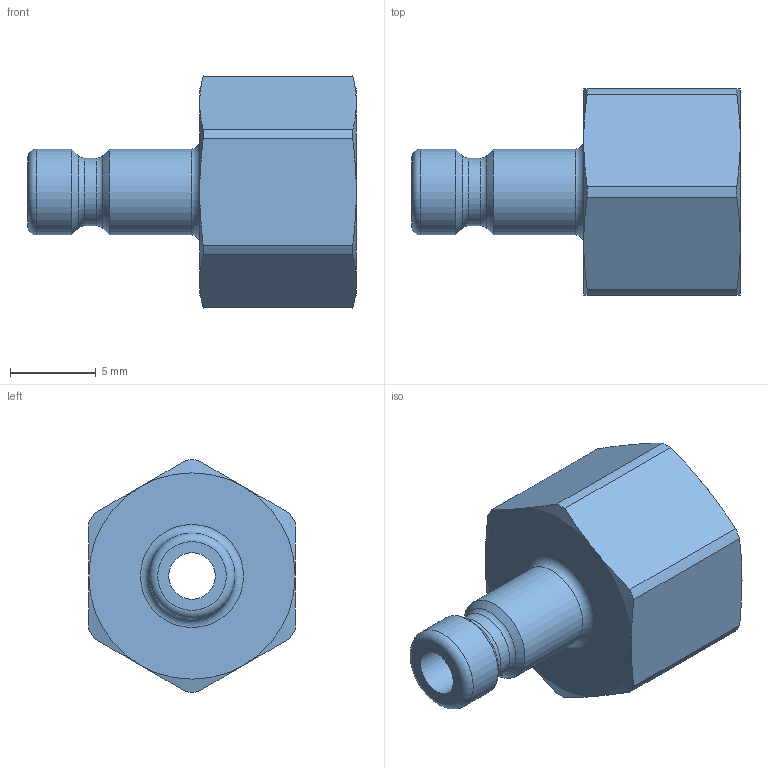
import cadquery as cq
import math

total_length = 19.1
plug_length = 10.0
hex_length = total_length - plug_length

hex_sides = 6
across_flats = 12.0
corner_diameter = 13.5
chamfer_slope = 15.0

plug_diameter = 5.0
bore_diameter = 2.7
tip_radius = 0.5
root_radius = 0.5

groove_diameter = 3.95
groove_start = 2.55
groove_width = 2.2
groove_blend_radius = 0.5
groove_wall_angle = 45.0

axis_start = (0, 0, 0)
axis_end = (1, 0, 0)


def make_hex_body():
    """Hexagonal prism with turned corners and chamfered ends, two corners on the Z axis."""
    flat_radius = across_flats / 2
    corner_radius = corner_diameter / 2
    sharp_corner_diameter = across_flats / math.cos(math.pi / hex_sides)
    prism = (
        cq.Workplane("YZ", origin=(plug_length, 0, 0))
        .transformed(rotate=(0, 0, 90))
        .polygon(hex_sides, sharp_corner_diameter)
        .extrude(hex_length)
    )

    chamfer_length = (corner_radius - flat_radius) * math.tan(math.radians(chamfer_slope))
    turned_envelope = (
        cq.Workplane("XY")
        .moveTo(plug_length, 0)
        .lineTo(plug_length, flat_radius)
        .lineTo(plug_length + chamfer_length, corner_radius)
        .lineTo(total_length - chamfer_length, corner_radius)
        .lineTo(total_length, flat_radius)
        .lineTo(total_length, 0)
        .close()
        .revolve(360, axis_start, axis_end)
    )
    return prism.intersect(turned_envelope)


def make_plug():
    """Turned plug with a rounded tip, a locking groove and a flared root."""
    plug_radius = plug_diameter / 2
    floor_radius = groove_diameter / 2
    wall_angle = math.radians(groove_wall_angle)

    blend_length = groove_blend_radius * math.sin(wall_angle)
    blend_height = groove_blend_radius * (1 - math.cos(wall_angle))
    half_blend_length = groove_blend_radius * math.sin(wall_angle / 2)
    half_blend_height = groove_blend_radius * (1 - math.cos(wall_angle / 2))
    cone_length = (plug_radius - floor_radius - blend_height) / math.tan(wall_angle)
    cone_end_radius = floor_radius + blend_height
    blend_middle_radius = floor_radius + half_blend_height

    groove_end = groove_start + groove_width
    floor_start = groove_start + cone_length + blend_length
    floor_end = groove_end - cone_length - blend_length

    return (
        cq.Workplane("XY")
        .lineTo(0, plug_radius - tip_radius)
        .radiusArc((tip_radius, plug_radius), tip_radius)
        .lineTo(groove_start, plug_radius)
        .lineTo(groove_start + cone_length, cone_end_radius)
        .threePointArc((floor_start - half_blend_length, blend_middle_radius), (floor_start, floor_radius))
        .lineTo(floor_end, floor_radius)
        .threePointArc(
            (floor_end + half_blend_length, blend_middle_radius),
            (floor_end + blend_length, cone_end_radius),
        )
        .lineTo(groove_end, plug_radius)
        .lineTo(plug_length - root_radius, plug_radius)
        .radiusArc((plug_length, plug_radius + root_radius), -root_radius)
        .lineTo(plug_length, 0)
        .close()
        .revolve(360, axis_start, axis_end)
    )


def make_bore():
    """Cylinder for the bore that runs the full length of the part."""
    return cq.Workplane("YZ").circle(bore_diameter / 2).extrude(total_length)


result = make_hex_body().union(make_plug()).cut(make_bore())